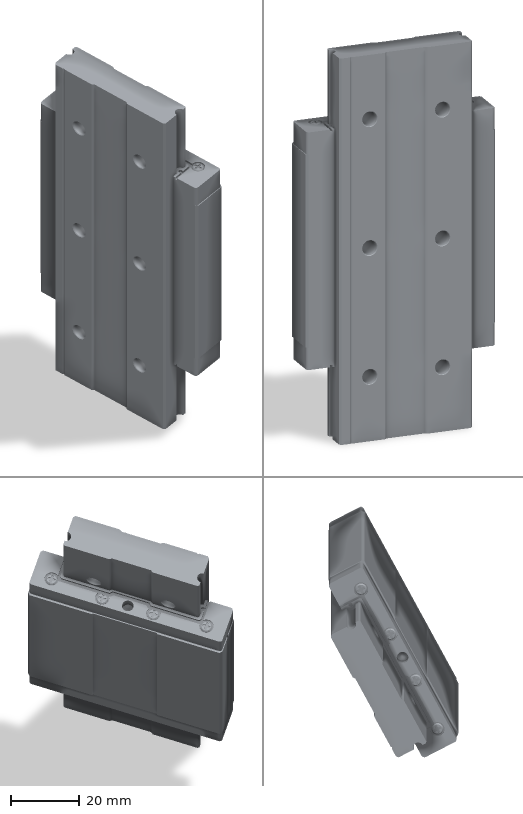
import cadquery as cq


rail_length = 120.0
rail_width = 42.0
rail_height = 10.0
mount_edge_chamfer = 0.6
top_edge_chamfer = 0.4
relief_half_width = 6.0
relief_depth = 0.5
relief_slope = 0.7
raceway_radius = 1.45
raceway_y = 7.05
mark_groove_x = -17.4
mark_groove_width = 0.7
mark_groove_depth = 0.25
hole_diameter = 4.5
hole_rim_chamfer = 0.2
hole_spacing_x = 23.0
hole_spacing_z = 40.0

carriage_length = 73.8
carriage_top = 16.0
carriage_bottom = 4.0
block_width = 60.0
block_length = 60.0
block_chamfer = 0.7
back_relief_half_width = 10.0
back_relief_depth = 0.3
side_groove_y = 10.15
side_groove_width = 0.7
side_groove_depth = 0.3
cap_width = 59.5
cap_top = 15.4
cap_top_fillet = 0.8
cap_bottom_fillet = 1.0

lip_width = 0.75
groove_width = 0.7
groove_roof_width = 1.1
groove_depth = 0.7
seal_corner = 0.5
notch_radius = 0.6
notch_x = rail_width / 2 + lip_width / 3

outer_screw_x = 23.9
outer_screw_y = 11.9
inner_screw_x = 7.9
inner_screw_y = 13.1
screw_hole_radius = 2.1
screw_head_radius = 1.75
screw_head_depth = 0.5
screw_head_chamfer = 0.35
cross_length = 2.4
cross_width = 0.7
cross_depth = 0.4
port_y = 13.0
port_radius = 1.7
port_depth = 3.0
port_tip = 1.0

end_z = carriage_length / 2


def along_z(outline, length):
    """Extrude an XY outline along Z, centred on Z = 0."""
    return outline.extrude(length / 2, both=True)


def make_rail_bar():
    """Rail profile with its raceways, before any holes or marks."""
    half = rail_width / 2
    low = mount_edge_chamfer
    high = top_edge_chamfer
    inner = relief_half_width
    outer = relief_half_width + relief_slope
    right_side = [
        (inner, relief_depth), (outer, 0), (half - low, 0), (half, low),
        (half, rail_height - high), (half - high, rail_height),
        (outer, rail_height), (inner, rail_height - relief_depth),
    ]
    left_side = [(-x, y) for x, y in reversed(right_side)]
    bar = along_z(cq.Workplane("XY").polyline(right_side + left_side).close(), rail_length)

    raceways = cq.Workplane("XY").pushPoints([(-half, raceway_y), (half, raceway_y)])
    return bar.cut(along_z(raceways.circle(raceway_radius), rail_length))


def make_rail():
    half_mark = mark_groove_width / 2
    mark = cq.Workplane("XY").polyline([
        (mark_groove_x - half_mark, 0),
        (mark_groove_x, mark_groove_depth),
        (mark_groove_x + half_mark, 0),
    ]).close()
    rail = make_rail_bar().cut(along_z(mark, rail_length))

    hole_grid = cq.Workplane("XZ").rarray(hole_spacing_x, hole_spacing_z, 2, 3)
    hole_radius = hole_diameter / 2
    holes = hole_grid.circle(hole_radius).extrude(-rail_height)
    rims = hole_grid.circle(hole_radius + hole_rim_chamfer).extrude(-hole_rim_chamfer, taper=45)
    return rail.cut(holes).cut(rims)


def make_bar(width, top, length):
    """Rectangular bar along Z that stands on the carriage's bottom level."""
    height = top - carriage_bottom
    return along_z(cq.Workplane("XY").center(0, carriage_bottom + height / 2).rect(width, height), length)


def make_block():
    block = make_bar(block_width, carriage_top, block_length).edges("|Z").chamfer(block_chamfer)

    back_relief = cq.Workplane("XY").center(0, carriage_top)
    back_relief = back_relief.rect(2 * back_relief_half_width, 2 * back_relief_depth)
    side_groove = cq.Workplane("XY").center(-block_width / 2, side_groove_y)
    side_groove = side_groove.rect(2 * side_groove_depth, side_groove_width)
    return block.cut(along_z(back_relief, block_length)).cut(along_z(side_groove, block_length))


def make_caps():
    """One bar through the block whose two ends form the caps."""
    bar = make_bar(cap_width, cap_top, carriage_length)
    bar = bar.edges("|Z and >Y").fillet(cap_top_fillet)
    return bar.edges("|Z and <Y").fillet(cap_bottom_fillet)


def seal_outline(side_gap, roof_gap):
    """Opening that follows the rail at a distance, its roof dropping in the middle over the relief."""
    half = rail_width / 2 + side_gap
    roof = rail_height + roof_gap
    low_roof = roof - lip_width
    inner = relief_half_width - roof_gap / 2
    outer = inner + lip_width
    right_side = [
        (inner, low_roof), (outer, roof), (half - seal_corner, roof), (half, roof - seal_corner), (half, 0),
    ]
    left_side = [(-x, y) for x, y in reversed(right_side)]
    return cq.Workplane("XY").polyline(right_side + left_side).close()


def make_seal_groove():
    """Cutter: the groove between two outlines around the rail, with a notch at each raceway."""
    groove = seal_outline(lip_width + groove_width, lip_width + groove_roof_width).extrude(-groove_depth)
    lip = seal_outline(lip_width, lip_width).extrude(-groove_depth)
    notches = cq.Workplane("XY").pushPoints([(-notch_x, raceway_y), (notch_x, raceway_y)])
    notches = notches.circle(notch_radius).extrude(-groove_depth)
    return groove.cut(lip).union(notches).translate((0, 0, end_z))


def make_screw_recess(x, y):
    """Cutter: the gap around one sunk screw head, its chamfer and its cross slot."""
    face = cq.Workplane("XY", origin=(x, y, end_z))
    recess = face.circle(screw_hole_radius).extrude(-screw_head_depth)
    head = face.circle(screw_head_radius).extrude(-screw_head_depth)
    head = head.faces(">Z").edges().chamfer(screw_head_chamfer)
    for size in ((cross_length, cross_width), (cross_width, cross_length)):
        head = head.cut(face.rect(*size).extrude(-cross_depth))
    return recess.cut(head)


def make_grease_port():
    """Cutter: a blind hole with a conical bottom."""
    half_profile = cq.Workplane("XZ", origin=(0, port_y, 0)).polyline([
        (0, end_z), (port_radius, end_z),
        (port_radius, end_z - port_depth), (0, end_z - port_depth - port_tip),
    ]).close()
    return half_profile.revolve(360, (0, 0), (0, 1))


def make_carriage():
    carriage = make_block().union(make_caps()).cut(make_rail_bar())

    end_cutters = [make_seal_groove(), make_grease_port()]
    for side in (-1, 1):
        end_cutters.append(make_screw_recess(side * outer_screw_x, outer_screw_y))
        end_cutters.append(make_screw_recess(side * inner_screw_x, inner_screw_y))
    for cutter in end_cutters:
        carriage = carriage.cut(cutter).cut(cutter.mirror("XY"))
    return carriage


rail = make_rail()
carriage = make_carriage()

result = cq.Compound.makeCompound([rail.val(), carriage.val()])